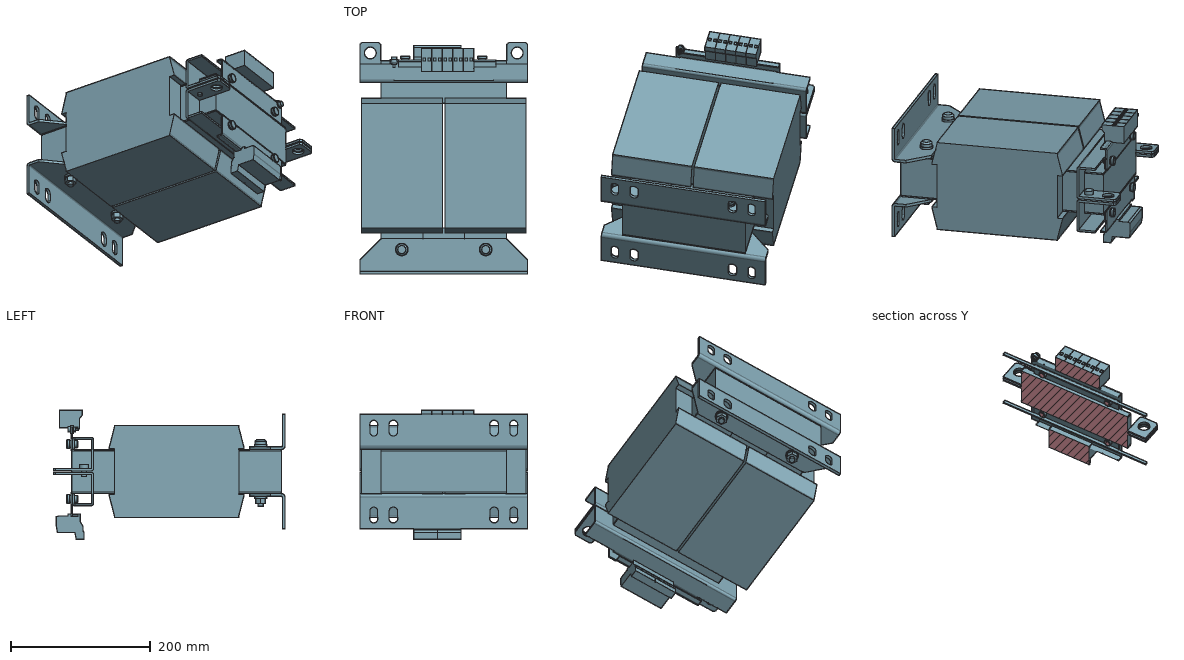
import cadquery as cq
import math

WIDTH = 240.0
CORE_WIDTH = 180.0
CORE_LENGTH = 300.0
CORE_HEIGHT = 59.0
INSULATION = 2.0
SHEET_INSET = 0.4
SHEET_RECESS = 0.3
YOKE_INNER_Y = 89.0
YOKE_MID_Y = 120.0
CORE_END_Y = CORE_LENGTH / 2
SEAT_Z = CORE_HEIGHT / 2 + INSULATION

COIL_WIDTH = 116.0
COIL_GAP = 3.5
COIL_HEIGHT = 132.0
COIL_HALF_LENGTH = 89.0
COIL_LIP_Y = 96.6
COIL_LIP_Z = 32.3
COIL_LIP_LAND = 1.5
COIL_ROOT_LAND = 2.6

FOOT_THICK = 4.0
FOOT_FRONT_Y = -155.0
FOOT_TOP_Z = 82.0
FOOT_INNER_Y = -104.5
FOOT_CHAMFER = 30.0
FOOT_BEND = 5.0
SLOT_Z = 62.0
SLOT_HEIGHT = 22.4
OUTER_SLOT_X = 100.0
OUTER_SLOT_WIDTH = 10.8
INNER_SLOT_X = 72.0
INNER_SLOT_WIDTH = 12.2

BOLT_X = 60.0
BOLT_WASHER_D = 18.0
BOLT_WASHER_H = 3.0
BOLT_HEAD_D = 16.5
BOLT_HEAD_H = 7.0
BOLT_HEAD_CHAMFER = 2.5
NUT_FLATS = 14.0
NUT_H = 7.3
STUD_D = 8.0
STUD_H = 4.0

CHANNEL_THICK = 3.0
CHANNEL_WEB_Y = 118.6
CHANNEL_TOP_Z = 49.0
CHANNEL_BOTTOM_Z = 1.0
LUG_THICK = 3.5
CHANNEL_BEND = 3.5
FLANGE_END_Y = 145.5
LIP_OUTER_Y = 149.0
LIP_BOTTOM_Z = 30.0
LIP_WIDTH = 142.0
LUG_WIDTH = 30.0
LUG_END_Y = 176.0
LUG_CHAMFER = 3.0
LUG_HOLE_D = 16.5
LUG_HOLE_Y = 161.0
LUG_X = (WIDTH - LUG_WIDTH) / 2
LUG_SCREW_Y = 132.4
LUG_SCREW_HEAD_D = 12.8
LUG_SCREW_HEAD_H = 5.5
LUG_SCREW_D = 7.0
LUG_SCREW_TAIL = 2.4

RAIL_BACK_Y = 149.0
RAIL_THICK = 2.0
RAIL_LEFT_X = -77.0
RAIL_RIGHT_X = 74.5
SHELF_LEFT_X = -64.5
SHELF_END_Y = 141.0
RAIL_TOP_Z = 64.0
RAIL_BEND = 3.5
RAIL_SCREW_X = 55.0
RAIL_SCREW_Z = 39.2
RAIL_SCREW_HEAD_D = 13.0
RAIL_SCREW_HEAD_H = 4.2
RAIL_SCREW_D = 11.0
RAIL_SCREW_GAP = 1.8
RAIL_NUT_D = 10.5
RAIL_NUT_END_Y = 140.6
RAIL_NUT_CHAMFER = 1.5
RAIL_HEAD_CHAMFER = 0.8

EARTH_X = -71.0
EARTH_Z = 60.3
EARTH_STAGES = (
    (140.5, 144.5, 3.0),
    (144.5, 147.0, 7.0),
    (147.0, 151.5, 11.5),
    (151.5, 155.5, 8.0),
)

UPPER_COUNT = 5
UPPER_PITCH = 15.0
UPPER_LEFT_X = -32.0
LOWER_COUNT = 2
LOWER_PITCH = 34.0
LOWER_LEFT_X = -43.0
BLOCK_JOINT = 0.3
WIRE_HOLE_WIDTH = 3.6
WIRE_HOLE_LENGTH = 4.6
WIRE_HOLE_Y = 151.7
WIRE_HOLE_DEPTH = 1.0
WIRE_HOLE_OFFSET = 3.6
UPPER_TOP_Z = 87.8
UPPER_NOSE_Y = 134.8
UPPER_FRONT_Y = 138.5
UPPER_OUTLINE = (
    (167.6, UPPER_TOP_Z),
    (UPPER_NOSE_Y, UPPER_TOP_Z),
    (UPPER_NOSE_Y, 80.5),
    (UPPER_FRONT_Y, 75.9),
    (UPPER_FRONT_Y, 60.8),
    (144.5, 60.8),
    (144.5, 62.5),
    (167.6, 62.5),
)
LOWER_NOSE_Y = 132.2
LOWER_OUTLINE = (
    (172.0, -64.5),
    (168.7, -63.3),
    (155.5, -63.3),
    (155.5, -60.3),
    (137.4, -60.3),
    (137.4, -71.9),
    (133.6, -78.2),
    (133.6, -83.6),
    (LOWER_NOSE_Y, -87.3),
    (LOWER_NOSE_Y, -97.0),
    (143.5, -97.0),
    (145.5, -87.2),
    (170.5, -87.2),
    (172.0, -78.0),
)


def box(x0, x1, y0, y1, z0, z1):
    return cq.Workplane("XY").box(x1 - x0, y1 - y0, z1 - z0, False).translate((x0, y0, z0))


def extrude_x(points, x0, x1):
    """Extrude a (y, z) outline from x0 to x1."""
    return cq.Workplane("YZ").polyline(points).close().extrude(x1 - x0).translate((x0, 0, 0))


def rod_z(x, y, z0, z1, diameter):
    return cq.Workplane("XY").circle(diameter / 2).extrude(z1 - z0).translate((x, y, z0))


def rod_y(x, z, y0, y1, diameter):
    return cq.Workplane("XZ").circle(diameter / 2).extrude(y0 - y1).translate((x, y0, z))


def flipped(shape):
    """Mirror image below the middle plane."""
    return shape.mirror("XY")


def make_yoke(side):
    """Laminated yoke with an insulation sheet on its top and bottom faces."""
    half = CORE_WIDTH / 2
    y0, y1 = sorted((side * YOKE_INNER_Y, side * CORE_END_Y))
    sheet_half = half - SHEET_INSET
    s0, s1 = sorted((side * YOKE_INNER_Y, side * (CORE_END_Y - SHEET_INSET)))
    yoke = box(-half, half, y0, y1, -CORE_HEIGHT / 2, CORE_HEIGHT / 2)
    yoke = yoke.union(box(-sheet_half, sheet_half, s0, s1, -SEAT_Z, SEAT_Z))
    if side < 0:
        third = CORE_WIDTH / 6
        recess = box(-third, third, y0, y1, SEAT_Z - SHEET_RECESS, SEAT_Z)
        yoke = yoke.cut(recess).cut(flipped(recess))
    return yoke


def make_coil(side):
    """Winding block whose ends flare outward above and below the yokes."""
    quarter = [
        (COIL_HALF_LENGTH, COIL_LIP_Z),
        (COIL_LIP_Y, COIL_LIP_Z),
        (COIL_LIP_Y, COIL_LIP_Z + COIL_LIP_LAND),
        (COIL_HALF_LENGTH, COIL_HEIGHT / 2 - COIL_ROOT_LAND),
        (COIL_HALF_LENGTH, COIL_HEIGHT / 2),
    ]
    upper = quarter + [(-y, z) for y, z in reversed(quarter)]
    outline = upper + [(-y, -z) for y, z in upper]
    near = COIL_GAP / 2
    x0, x1 = sorted((side * near, side * (near + COIL_WIDTH)))
    return extrude_x(outline, x0, x1)


def slot(x, width):
    """Upright round-ended slot through the foot."""
    cutter = cq.Workplane("XZ").slot2D(SLOT_HEIGHT, width, 90).extrude(2 * FOOT_THICK, both=True)
    return cutter.translate((x, FOOT_FRONT_Y, SLOT_Z))


def make_foot():
    """Upper angle-shaped mounting foot."""
    half = WIDTH / 2
    back = FOOT_FRONT_Y + FOOT_THICK
    top = SEAT_Z + FOOT_THICK
    outline = [
        (FOOT_FRONT_Y, SEAT_Z),
        (FOOT_INNER_Y, SEAT_Z),
        (FOOT_INNER_Y, top),
        (back, top),
        (back, FOOT_TOP_Z),
        (FOOT_FRONT_Y, FOOT_TOP_Z),
    ]
    foot = extrude_x(outline, -half, half)
    outer_bend = cq.selectors.NearestToPointSelector((0, FOOT_FRONT_Y, SEAT_Z))
    foot = foot.edges(outer_bend).fillet(FOOT_BEND)
    inner_bend = cq.selectors.NearestToPointSelector((0, back, top))
    foot = foot.edges(inner_bend).fillet(FOOT_BEND - FOOT_THICK)
    foot = foot.faces(">Y").edges("|Z").chamfer(FOOT_CHAMFER)
    for side in (-1, 1):
        foot = foot.cut(slot(side * OUTER_SLOT_X, OUTER_SLOT_WIDTH))
        foot = foot.cut(slot(side * INNER_SLOT_X, INNER_SLOT_WIDTH))
    return foot


def make_bolt(x):
    """Yoke clamping bolt: head on top, nut and thread end below."""
    seat = SEAT_Z + FOOT_THICK
    washer_top = seat + BOLT_WASHER_H
    head = rod_z(x, -YOKE_MID_Y, washer_top, washer_top + BOLT_HEAD_H, BOLT_HEAD_D)
    head = head.faces(">Z").edges().chamfer(BOLT_HEAD_CHAMFER)
    nut_end = washer_top + NUT_H
    nut = cq.Workplane("XY").polygon(6, NUT_FLATS / math.cos(math.pi / 6)).extrude(NUT_H)
    nut = nut.translate((x, -YOKE_MID_Y, -nut_end))
    stud = rod_z(x, -YOKE_MID_Y, -nut_end - STUD_H, -nut_end, STUD_D)
    washers = rod_z(x, -YOKE_MID_Y, -washer_top, washer_top, BOLT_WASHER_D)
    return washers.union(head).union(nut).union(stud)


def make_channel():
    """Upper rear channel with its turned-down lip and two lifting lugs."""
    half = WIDTH / 2
    lip_half = LIP_WIDTH / 2
    lip_back = LIP_OUTER_Y - CHANNEL_THICK
    web_in = CHANNEL_WEB_Y + CHANNEL_THICK
    flange_z = CHANNEL_TOP_Z - CHANNEL_THICK
    lug_top = CHANNEL_BOTTOM_Z + LUG_THICK
    web_outline = [
        (CHANNEL_WEB_Y, CHANNEL_BOTTOM_Z),
        (FLANGE_END_Y, CHANNEL_BOTTOM_Z),
        (FLANGE_END_Y, lug_top),
        (web_in, lug_top),
        (web_in, flange_z),
        (FLANGE_END_Y, flange_z),
        (FLANGE_END_Y, CHANNEL_TOP_Z),
        (CHANNEL_WEB_Y, CHANNEL_TOP_Z),
    ]
    channel = extrude_x(web_outline, -half, half)
    channel = channel.faces("<Y").edges("|X").fillet(CHANNEL_BEND)
    lip = box(-lip_half, lip_half, web_in, LIP_OUTER_Y, LIP_BOTTOM_Z, CHANNEL_TOP_Z)
    lip = lip.edges("|X and >Y and >Z").fillet(CHANNEL_BEND)
    lip = lip.cut(box(-lip_half, lip_half, web_in, lip_back, LIP_BOTTOM_Z, flange_z))
    channel = channel.union(lip)
    for side in (-1, 1):
        lug_x = side * LUG_X
        lug_half = LUG_WIDTH / 2
        lug = box(lug_x - lug_half, lug_x + lug_half, web_in, LUG_END_Y, CHANNEL_BOTTOM_Z, lug_top)
        lug = lug.faces(">Y").edges("|Z").chamfer(LUG_CHAMFER)
        channel = channel.union(lug)
        channel = channel.cut(rod_z(lug_x, LUG_HOLE_Y, 0, CHANNEL_TOP_Z, LUG_HOLE_D))
    return channel


def make_lug_screw(x):
    """Screw that joins the upper and lower lugs."""
    face = CHANNEL_BOTTOM_Z + LUG_THICK
    shank = rod_z(x, LUG_SCREW_Y, -face - LUG_SCREW_TAIL, face, LUG_SCREW_D)
    return shank.union(rod_z(x, LUG_SCREW_Y, face, face + LUG_SCREW_HEAD_H, LUG_SCREW_HEAD_D))


def make_rail():
    """Upper terminal rail: an upright sheet bent over into a shelf."""
    front = RAIL_BACK_Y + RAIL_THICK
    bend_y = front - RAIL_BEND
    bend_z = RAIL_TOP_Z - RAIL_BEND
    shelf_length = RAIL_RIGHT_X - SHELF_LEFT_X
    sheet = box(RAIL_LEFT_X, RAIL_RIGHT_X, RAIL_BACK_Y, front, LIP_BOTTOM_Z, RAIL_TOP_Z)
    shelf = box(SHELF_LEFT_X, RAIL_RIGHT_X, SHELF_END_Y, front, RAIL_TOP_Z - RAIL_THICK, RAIL_TOP_Z)
    corner = box(SHELF_LEFT_X, RAIL_RIGHT_X, bend_y, front, bend_z, RAIL_TOP_Z)
    round_bar = cq.Workplane("YZ").circle(RAIL_BEND).extrude(shelf_length)
    corner = corner.cut(round_bar.translate((SHELF_LEFT_X, bend_y, bend_z)))
    return sheet.union(shelf).cut(corner)


def make_rail_screw(x):
    """Screw and nut that hold the upper rail to the channel lip."""
    head_y = RAIL_BACK_Y + RAIL_THICK + RAIL_SCREW_GAP
    head_end = head_y + RAIL_SCREW_HEAD_H
    head = rod_y(x, RAIL_SCREW_Z, head_y, head_end, RAIL_SCREW_HEAD_D)
    head = head.faces(">Y").edges().chamfer(RAIL_HEAD_CHAMFER)
    shank = rod_y(x, RAIL_SCREW_Z, RAIL_BACK_Y, head_y, RAIL_SCREW_D)
    nut = rod_y(x, RAIL_SCREW_Z, RAIL_NUT_END_Y, RAIL_BACK_Y, RAIL_NUT_D)
    nut = nut.faces("<Y").edges().chamfer(RAIL_NUT_CHAMFER)
    return shank.union(head).union(nut)


def make_earth_screw():
    screw = cq.Workplane("XY")
    for y0, y1, diameter in EARTH_STAGES:
        screw = screw.union(rod_y(EARTH_X, EARTH_Z, y0, y1, diameter))
    return screw


def joint(x, y0, y1, z0, z1):
    """Cutter for a thin groove between neighbouring terminal blocks."""
    return box(x - BLOCK_JOINT / 2, x + BLOCK_JOINT / 2, y0, y1, z0, z1)


def make_upper_blocks():
    """Row of terminal blocks with two wire holes in the top of each."""
    back = UPPER_OUTLINE[0][0]
    bottom = UPPER_OUTLINE[4][1]
    under_nose = UPPER_OUTLINE[3][1]
    blocks = extrude_x(UPPER_OUTLINE, UPPER_LEFT_X, UPPER_LEFT_X + UPPER_COUNT * UPPER_PITCH)
    for number in range(1, UPPER_COUNT):
        x = UPPER_LEFT_X + number * UPPER_PITCH
        blocks = blocks.cut(joint(x, UPPER_NOSE_Y, back, UPPER_TOP_Z - BLOCK_JOINT, UPPER_TOP_Z))
        blocks = blocks.cut(joint(x, UPPER_NOSE_Y, UPPER_NOSE_Y + BLOCK_JOINT, bottom, UPPER_TOP_Z))
        blocks = blocks.cut(joint(x, UPPER_NOSE_Y, UPPER_FRONT_Y + BLOCK_JOINT, bottom, under_nose))
    for number in range(UPPER_COUNT):
        middle = UPPER_LEFT_X + (number + 0.5) * UPPER_PITCH
        for side in (-1, 1):
            hole = cq.Workplane("XY").box(WIRE_HOLE_WIDTH, WIRE_HOLE_LENGTH, 2 * WIRE_HOLE_DEPTH)
            hole_x = middle + side * WIRE_HOLE_OFFSET
            blocks = blocks.cut(hole.translate((hole_x, WIRE_HOLE_Y, UPPER_TOP_Z)))
    return blocks


def make_lower_blocks():
    """Row of larger terminal blocks, grooved on the front face between blocks."""
    top = LOWER_OUTLINE[7][1]
    bottom = LOWER_OUTLINE[9][1]
    blocks = extrude_x(LOWER_OUTLINE, LOWER_LEFT_X, LOWER_LEFT_X + LOWER_COUNT * LOWER_PITCH)
    for number in range(1, LOWER_COUNT):
        x = LOWER_LEFT_X + number * LOWER_PITCH
        blocks = blocks.cut(joint(x, LOWER_NOSE_Y, LOWER_OUTLINE[7][0] + BLOCK_JOINT, bottom, top))
    return blocks


parts = [make_earth_screw(), make_upper_blocks(), make_lower_blocks()]
for side in (-1, 1):
    parts += [make_coil(side), make_bolt(side * BOLT_X), make_lug_screw(side * LUG_X)]
for upper in (make_foot(), make_channel(), make_rail(), *(make_rail_screw(s * RAIL_SCREW_X) for s in (-1, 1))):
    parts += [upper, flipped(upper)]

result = make_yoke(-1).union(make_yoke(1))
for part in parts:
    result = result.union(part)